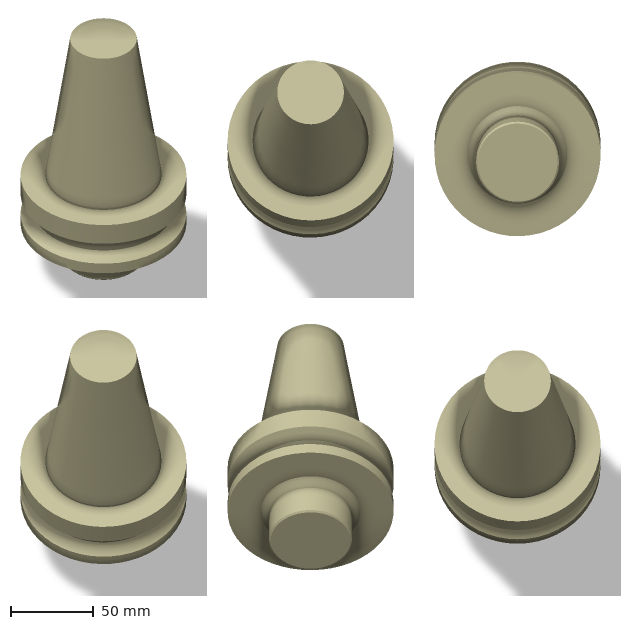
import cadquery as cq
import math


total_length = 164.8

taper_length = 101.8
gauge_diameter = 69.9
taper_ratio = 7 / 24
tip_diameter = gauge_diameter - taper_length * taper_ratio

flange_diameter = 100.0
flange_top = -1.5
flange_bottom = -38.0

groove_diameter = 85.0
groove_center = -23.2
groove_floor_width = 6.5
groove_wall_angle = 30
groove_depth = (flange_diameter - groove_diameter) / 2
groove_wall_height = groove_depth * math.tan(math.radians(groove_wall_angle))
groove_mouth_width = groove_floor_width + 2 * groove_wall_height

nose_diameter = 50.0
nose_bottom = taper_length - total_length
nose_chamfer = 1.0
collar_height = 5.0


def make_shank():
    """Cone above the gauge plane and a short neck down to the flange."""
    return (
        cq.Workplane("XZ")
        .moveTo(0, flange_top)
        .lineTo(gauge_diameter / 2, flange_top)
        .lineTo(gauge_diameter / 2, 0)
        .lineTo(tip_diameter / 2, taper_length)
        .lineTo(0, taper_length)
        .close()
        .revolve()
    )


def make_flange():
    """Plain disc between the shank and the nose."""
    return (
        cq.Workplane("XY")
        .workplane(offset=flange_bottom)
        .circle(flange_diameter / 2)
        .extrude(flange_top - flange_bottom)
    )


def make_groove():
    """Ring with a trapezoid section, to be cut from the flange rim."""
    floor_radius = groove_diameter / 2
    rim_radius = flange_diameter / 2
    return (
        cq.Workplane("XZ")
        .moveTo(floor_radius, groove_center - groove_floor_width / 2)
        .lineTo(rim_radius, groove_center - groove_mouth_width / 2)
        .lineTo(rim_radius, groove_center + groove_mouth_width / 2)
        .lineTo(floor_radius, groove_center + groove_floor_width / 2)
        .close()
        .revolve(360, (0, 0), (0, 1))
    )


def make_nose():
    """Cylinder with a conical collar at the top and a chamfered lower edge."""
    radius = nose_diameter / 2
    return (
        cq.Workplane("XZ")
        .moveTo(0, flange_bottom)
        .lineTo(radius + collar_height, flange_bottom)
        .lineTo(radius, flange_bottom - collar_height)
        .lineTo(radius, nose_bottom + nose_chamfer)
        .lineTo(radius - nose_chamfer, nose_bottom)
        .lineTo(0, nose_bottom)
        .close()
        .revolve()
    )


result = make_flange().cut(make_groove()).union(make_shank()).union(make_nose())